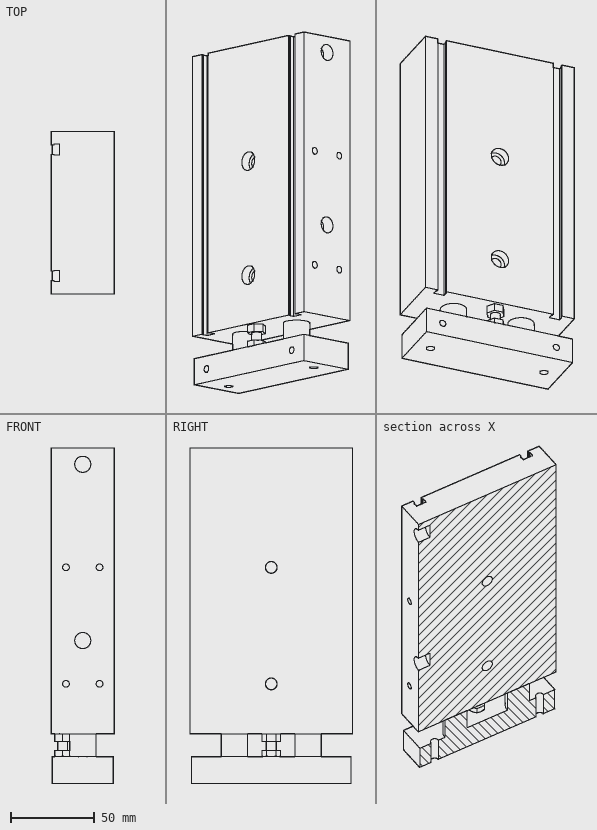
import cadquery as cq
import math

TOTAL_HEIGHT = 202.0
PLATE_HEIGHT = 16.2
HOUSING_BOTTOM = 29.9
HOUSING_HEIGHT = TOTAL_HEIGHT - HOUSING_BOTTOM

HOUSING_X = 38.0
HOUSING_Y = 98.0
MOUNT_HOLE_Z = (60.0, 130.0)
MOUNT_HOLE_DIAMETER = 6.9
COUNTERBORE_DIAMETER = 11.3
COUNTERBORE_DEPTH = 6.0
PORT_Z = (86.0, 192.1)
PORT_DIAMETER = 9.7
PORT_DEPTH = 8.0
SIDE_HOLE_X = 10.0
SIDE_HOLE_DIAMETER = 4.0
SIDE_HOLE_DEPTH = 8.0

SLOT_Y = 38.0
SLOT_MOUTH = 5.7
SLOT_WIDTH = 6.7
SLOT_DEPTH = 4.8
SLOT_LIP = 1.6

PLATE_X = 36.8
PLATE_Y = 96.2
ROD_DIAMETER = 16.0
ROD_Y = 22.2
PLATE_HOLE_DIAMETER = 4.0
PLATE_HOLE_Y = 37.4
PLATE_HOLE_DEPTH = 8.0
PLATE_BOLT_HOLE_DIAMETER = 5.0

BOLT_X = -12.1
BOLT_DIAMETER = 6.0
HEX_ACROSS_FLATS = 9.7
HEAD_HEIGHT = 4.6
NUT_HEIGHT = 3.8
NUT_BEVEL_ANGLE = math.radians(30)


def cylinder(start, direction, diameter, length):
    """A round bar from a start point along a direction."""
    return cq.Workplane(
        cq.Solid.makeCylinder(diameter / 2, length, cq.Vector(*start), cq.Vector(*direction))
    )


def box(size_x, size_y, bottom, height):
    """A block centred on the Z axis, standing on the given level."""
    return cq.Workplane().workplane(offset=bottom).rect(size_x, size_y).extrude(height)


def sensor_slot(center_y):
    """An undercut slot that widens behind a narrow mouth."""
    face = -HOUSING_X / 2
    half_profile = [
        (face, SLOT_MOUTH / 2),
        (face + SLOT_LIP, SLOT_MOUTH / 2),
        (face + SLOT_LIP, SLOT_WIDTH / 2),
        (face + SLOT_DEPTH, SLOT_WIDTH / 2),
    ]
    other_half = [(x, -y) for x, y in reversed(half_profile)]
    return (
        cq.Workplane()
        .workplane(offset=HOUSING_BOTTOM)
        .polyline(half_profile + other_half)
        .close()
        .extrude(HOUSING_HEIGHT)
        .translate((0, center_y, 0))
    )


def make_housing():
    housing = box(HOUSING_X, HOUSING_Y, HOUSING_BOTTOM, HOUSING_HEIGHT)
    for side in (-1, 1):
        housing = housing.cut(sensor_slot(side * SLOT_Y))

    for z in MOUNT_HOLE_Z:
        start = (-HOUSING_X / 2, 0, z)
        housing = housing.cut(cylinder(start, (1, 0, 0), MOUNT_HOLE_DIAMETER, HOUSING_X))
        housing = housing.cut(cylinder(start, (1, 0, 0), COUNTERBORE_DIAMETER, COUNTERBORE_DEPTH))
        for x in (-SIDE_HOLE_X, SIDE_HOLE_X):
            start = (x, -HOUSING_Y / 2, z)
            housing = housing.cut(cylinder(start, (0, 1, 0), SIDE_HOLE_DIAMETER, SIDE_HOLE_DEPTH))

    for z in PORT_Z:
        start = (0, -HOUSING_Y / 2, z)
        housing = housing.cut(cylinder(start, (0, 1, 0), PORT_DIAMETER, PORT_DEPTH))
    return housing


def make_tool_plate():
    plate = box(PLATE_X, PLATE_Y, 0, PLATE_HEIGHT)
    for side in (-1, 1):
        rod_start = (0, side * ROD_Y, PLATE_HEIGHT)
        plate = plate.union(
            cylinder(rod_start, (0, 0, 1), ROD_DIAMETER, HOUSING_BOTTOM - PLATE_HEIGHT)
        )
        y = side * PLATE_HOLE_Y
        face_hole_start = (-PLATE_X / 2, y, PLATE_HEIGHT / 2)
        plate = plate.cut(cylinder(face_hole_start, (1, 0, 0), PLATE_HOLE_DIAMETER, PLATE_HOLE_DEPTH))
        plate = plate.cut(cylinder((0, y, 0), (0, 0, 1), PLATE_BOLT_HOLE_DIAMETER, PLATE_HEIGHT))
    return plate


def hexagon(bottom, height):
    """A hexagonal prism on the bolt axis with two flats facing along X."""
    across_corners = HEX_ACROSS_FLATS / math.cos(math.pi / 6)
    return (
        cq.Workplane()
        .polygon(6, across_corners)
        .extrude(height)
        .rotate((0, 0, 0), (0, 0, 1), 90)
        .translate((BOLT_X, 0, bottom))
    )


def nut_bevel():
    """A cone, wider upwards, that bevels the lower corners of the lock nut."""
    lower_radius = HEX_ACROSS_FLATS / 2
    upper_radius = lower_radius + NUT_HEIGHT / math.tan(NUT_BEVEL_ANGLE)
    base = cq.Vector(BOLT_X, 0, PLATE_HEIGHT)
    return cq.Workplane(cq.Solid.makeCone(lower_radius, upper_radius, NUT_HEIGHT, base))


def make_stop_bolt():
    shank_start = (BOLT_X, 0, PLATE_HEIGHT)
    shank = cylinder(shank_start, (0, 0, 1), BOLT_DIAMETER, HOUSING_BOTTOM - PLATE_HEIGHT)
    head = hexagon(HOUSING_BOTTOM - HEAD_HEIGHT, HEAD_HEIGHT)
    lock_nut = hexagon(PLATE_HEIGHT, NUT_HEIGHT).intersect(nut_bevel())
    return shank.union(head).union(lock_nut)


housing = make_housing()
tool_plate = make_tool_plate()
stop_bolt = make_stop_bolt()

result = cq.Compound.makeCompound([housing.val(), tool_plate.val(), stop_bolt.val()])